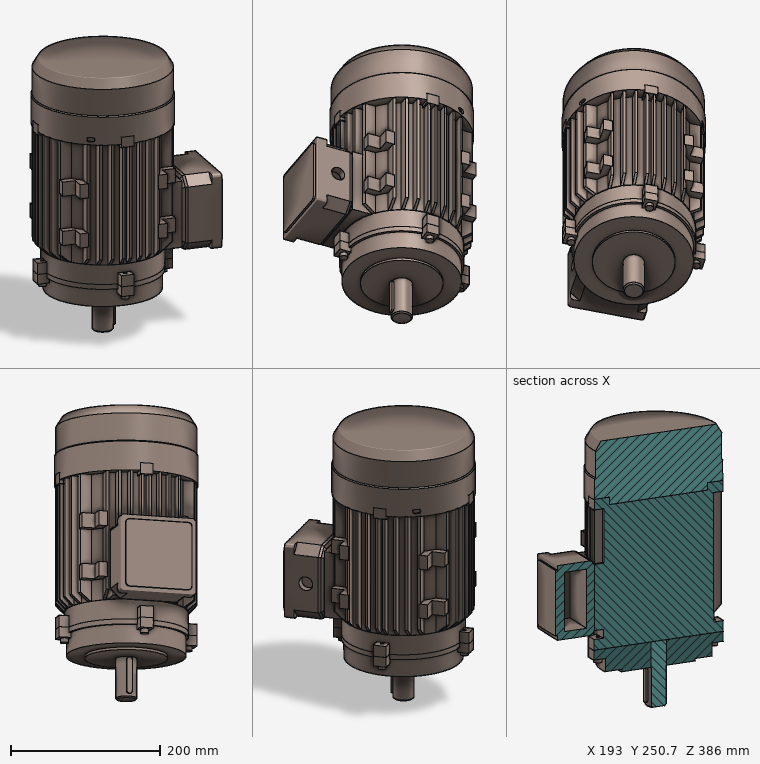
import cadquery as cq
import math


FACE_Z = 56.5
SHIELD_Z = 60.0
SHIELD_STEP_Z = 85.3
JOINT_Z = 92.3
COLLAR_TOP_Z = 119.5
COVER_Z = 294.0
COVER_STEP_Z = 335.5
COVER_SHOULDER_Z = 373.0
TOP_Z = 386.0

OUTER_R = 96.5
COVER_UPPER_R = 95.0
COVER_TOP_R = 87.0
FIN_TIP_R = 95.0
COLLAR_R = 83.5
CORE_R = 82.5
SHIELD_R = 80.3
SPIGOT_R = 55.5
SHAFT_R = 14.3

COVER_STEP_CHAMFER = OUTER_R - COVER_UPPER_R
COVER_EDGE_FILLET = 1.0

SHAFT_CHAMFER = 2.0
KEY_WIDTH = 8.0
KEY_TOP_Y = 16.5
KEY_BOTTOM_Y = 10.0
KEY_Z = 5.5
KEY_LENGTH = 50.0

FIN_WIDTH = 3.5
FIN_PITCH = 15.0
FIRST_FIN_OFFSET = 5.0
FINS_PER_HALF = 4
FIN_ROOT_R = 46.5

PAD_REACH = 80.5
PAD_SHOULDER = 62.5
PAD_ROOT = 49.8
PAD_HEIGHT = 20.0
PAD_BOTTOM_HEIGHTS = (148.5, 218.5)

LUG_WIDTH = 18.0
LUG_ROOT_R = 73.5
LUG_BOTTOM_Z = 78.5
LUG_TOP_Z = 108.0
REAR_LUG_BOTTOM_Z = 289.5
REAR_LUG_TOP_Z = 304.5
BOLT_CIRCLE_R = 86.5
BOLT_R = 2.5
BOLT_HEAD_R = 5.5
BOLT_HEAD_HEIGHT = 5.8
BOLT_END_GAP = 2.0
QUARTER_TURNS = (0, 90, 180, 270)

SLOT_ANGLES = (90, 210, 330)
SLOT_Z = 301.5
SLOT_LENGTH = 11.0
SLOT_HEIGHT = 6.0
SLOT_DEPTH = 3.0

BOX_Z = 166.8
BOX_SIZE = 105.8
PEDESTAL_SIZE = 93.8
PEDESTAL_Y = 96.0
BOX_LID_Y = 137.0
BOX_TOP_Y = 151.5
BOX_CORNER_CHAMFER = 13.0
BOX_CORNER_R = 5.0
BOX_BEVELS = ((3.5, 1.5), (3.0, 4.0))
BOX_BACK_Y = PEDESTAL_Y + sum(depth for depth, inset in BOX_BEVELS)
BOX_WALL = 11.5
BOX_LID_FILLET = 1.0
PLATE_SIZE = 92.5
PLATE_CORNER_R = 5.8
PLATE_THICKNESS = 2.7
CABLE_HOLE_Y = 120.5
CABLE_HOLE_R = 9.5


def cylinder(radius, bottom, top):
    return cq.Workplane("XY").workplane(offset=bottom).circle(radius).extrude(top - bottom)


def block(x_range, y_range, z_range):
    """Box between the given limits on each axis."""
    limits = (x_range, y_range, z_range)
    sizes = [high - low for low, high in limits]
    return cq.Workplane("XY").box(*sizes, centered=False).translate([low for low, high in limits])


def about_axis(shape, angle):
    return shape.rotate((0, 0, 0), (0, 0, 1), angle)


def lug(bottom, top):
    """Straight-sided lug on the +X side, reaching the outer radius."""
    return block((LUG_ROOT_R, OUTER_R), (-LUG_WIDTH / 2, LUG_WIDTH / 2), (bottom, top))


def rear_lug():
    """Lug at the fan end, rounded to follow the outside of the cover."""
    envelope = cylinder(OUTER_R, REAR_LUG_BOTTOM_Z, REAR_LUG_TOP_Z)
    return lug(REAR_LUG_BOTTOM_Z, REAR_LUG_TOP_Z).intersect(envelope)


def bolt_hole(bottom, top):
    return cylinder(BOLT_R, bottom, top).translate((BOLT_CIRCLE_R, 0, 0))


def square_on_y(size, start, end):
    """Square prism along +Y, centred on the terminal box."""
    return block((-size / 2, size / 2), (start, end), (BOX_Z - size / 2, BOX_Z + size / 2))


def make_fan_cover():
    profile = [
        (0, COVER_Z),
        (OUTER_R, COVER_Z),
        (OUTER_R, COVER_STEP_Z - COVER_STEP_CHAMFER),
        (COVER_UPPER_R, COVER_STEP_Z),
        (COVER_UPPER_R, COVER_SHOULDER_Z),
        (COVER_TOP_R, TOP_Z),
        (0, TOP_Z),
    ]
    cover = cq.Workplane("XZ").polyline(profile).close().revolve(360, (0, 0), (0, 1))
    cover = cover.faces(">Z").edges().fillet(COVER_EDGE_FILLET)
    for angle in SLOT_ANGLES:
        slot = (
            cq.Workplane("YZ")
            .workplane(offset=OUTER_R - SLOT_DEPTH)
            .center(0, SLOT_Z)
            .slot2D(SLOT_LENGTH, SLOT_HEIGHT)
            .extrude(2 * SLOT_DEPTH)
        )
        cover = cover.cut(about_axis(slot, angle))
    for angle in QUARTER_TURNS:
        cover = cover.cut(about_axis(rear_lug(), angle))
    return cover


def make_fins():
    """All fins, trimmed to the tip radius and bevelled towards the collar."""
    bevel = FIN_TIP_R - COLLAR_R
    envelope = cylinder(FIN_TIP_R, COLLAR_TOP_Z, COVER_Z).faces("<Z").chamfer(bevel)
    fins = cq.Workplane("XY")
    for angle in QUARTER_TURNS:
        for number in range(FINS_PER_HALF):
            for side in (-1, 1):
                middle = side * (FIRST_FIN_OFFSET + number * FIN_PITCH)
                fin = block(
                    (FIN_ROOT_R, FIN_TIP_R),
                    (middle - FIN_WIDTH / 2, middle + FIN_WIDTH / 2),
                    (COLLAR_TOP_Z, COVER_Z),
                )
                fins = fins.add(about_axis(fin, angle))
    return fins.combine().intersect(envelope)


def make_foot_pad(bottom):
    """L-shaped pad on the +X +Y corner."""
    z_range = (bottom, bottom + PAD_HEIGHT)
    x_arm = block((PAD_ROOT, PAD_REACH), (PAD_ROOT, PAD_SHOULDER), z_range)
    y_arm = block((PAD_ROOT, PAD_SHOULDER), (PAD_ROOT, PAD_REACH), z_range)
    return x_arm.union(y_arm)


def make_housing():
    housing = cylinder(COLLAR_R, JOINT_Z, COLLAR_TOP_Z)
    housing = housing.union(cylinder(CORE_R, COLLAR_TOP_Z, COVER_Z)).union(make_fins())
    housing = housing.union(square_on_y(PEDESTAL_SIZE, 0, PEDESTAL_Y))
    for angle in QUARTER_TURNS:
        for bottom in PAD_BOTTOM_HEIGHTS:
            housing = housing.union(about_axis(make_foot_pad(bottom), angle))
        housing = housing.union(about_axis(rear_lug(), angle))
        front_lug = lug(JOINT_Z, LUG_TOP_Z).cut(bolt_hole(JOINT_Z, LUG_TOP_Z))
        housing = housing.union(about_axis(front_lug, angle))
    return housing


def make_end_shield():
    shield = cylinder(SPIGOT_R, FACE_Z, JOINT_Z)
    shield = shield.union(cylinder(SHIELD_R, SHIELD_Z, JOINT_Z))
    shield = shield.union(cylinder(COLLAR_R, SHIELD_STEP_Z, JOINT_Z))
    for angle in QUARTER_TURNS:
        shield = shield.union(about_axis(lug(LUG_BOTTOM_Z, JOINT_Z), angle))
        shield = shield.cut(about_axis(bolt_hole(LUG_BOTTOM_Z, JOINT_Z), angle))
    return shield.cut(cylinder(SHAFT_R, FACE_Z, JOINT_Z))


def make_shaft():
    shaft = cylinder(SHAFT_R, 0, JOINT_Z).faces("<Z").chamfer(SHAFT_CHAMFER)
    key = (
        cq.Workplane("XZ", origin=(0, KEY_TOP_Y, KEY_Z + KEY_LENGTH / 2))
        .slot2D(KEY_LENGTH, KEY_WIDTH, 90)
        .extrude(KEY_TOP_Y - KEY_BOTTOM_Y)
    )
    return shaft.union(key)


def make_terminal_box():
    base = square_on_y(BOX_SIZE, BOX_BACK_Y, BOX_LID_Y)
    base = base.edges("|Y").chamfer(BOX_CORNER_CHAMFER)
    for depth, inset in BOX_BEVELS:
        taper = math.degrees(math.atan2(inset, depth))
        base = base.faces("<Y").wires().toPending().workplane().extrude(depth, taper=taper)
    lid = square_on_y(BOX_SIZE, BOX_LID_Y, BOX_TOP_Y).edges("|Y").fillet(BOX_CORNER_R)
    lid = lid.faces(">Y").edges().fillet(BOX_LID_FILLET)
    plate = square_on_y(PLATE_SIZE, BOX_TOP_Y, BOX_TOP_Y + PLATE_THICKNESS)
    plate = plate.edges("|Y").fillet(PLATE_CORNER_R)
    cavity = square_on_y(BOX_SIZE - 2 * BOX_WALL, PEDESTAL_Y + BOX_WALL, BOX_TOP_Y - BOX_WALL)
    cable_hole = (
        cq.Workplane("YZ")
        .workplane(offset=-BOX_SIZE / 2)
        .center(CABLE_HOLE_Y, BOX_Z)
        .circle(CABLE_HOLE_R)
        .extrude(BOX_WALL)
    )
    return base.union(lid).union(plate).cut(cavity).cut(cable_hole)


def make_bolt(angle):
    shank = bolt_hole(LUG_BOTTOM_Z, LUG_TOP_Z - BOLT_END_GAP)
    head = cylinder(BOLT_HEAD_R, LUG_BOTTOM_Z - BOLT_HEAD_HEIGHT, LUG_BOTTOM_Z)
    bolt = shank.union(head.translate((BOLT_CIRCLE_R, 0, 0)))
    return about_axis(bolt, angle)


fan_cover = make_fan_cover()
housing = make_housing()
end_shield = make_end_shield()
shaft = make_shaft()
terminal_box = make_terminal_box()
bolts = [make_bolt(angle) for angle in QUARTER_TURNS]

result = cq.Compound.makeCompound([
    fan_cover.val(),
    housing.val(),
    end_shield.val(),
    shaft.val(),
    terminal_box.val(),
    *[bolt.val() for bolt in bolts],
])